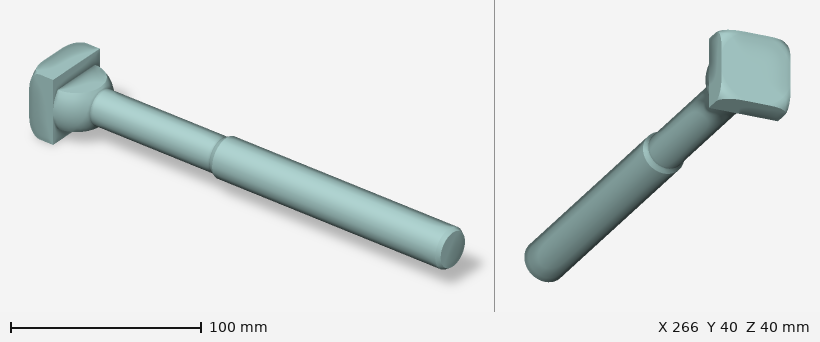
import cadquery as cq
import math

total_length = 266.0
head_width = 40.0
head_thickness = 16.0
head_envelope_radius = head_width / math.sqrt(2)
head_rounding = 7.5

thread_radius = 12.0
thread_start = 112.3
start_chamfer_length = 3.2
shank_radius = 10.5
end_chamfer_length = 2.5
end_chamfer_depth = 1.5

neck_width = 2 * thread_radius
neck_sphere_radius = head_width / 2


def make_head():
    """Square plate whose front corners are rounded off by a filleted disc."""
    plate = cq.Workplane("YZ").rect(head_width, head_width).extrude(head_thickness)
    envelope = (
        cq.Workplane("YZ")
        .circle(head_envelope_radius)
        .extrude(head_thickness)
        .faces("<X")
        .edges()
        .fillet(head_rounding)
    )
    return plate.intersect(envelope)


def make_neck():
    """Half ball behind the head, cut flat above and below."""
    ball = cq.Workplane("XY").sphere(neck_sphere_radius).translate((head_thickness, 0, 0))
    slab = (
        cq.Workplane("YZ", origin=(head_thickness, 0, 0))
        .rect(head_width, neck_width)
        .extrude(neck_sphere_radius)
    )
    return slab.intersect(ball)


def make_shaft():
    """Reduced shank stepping up to the full diameter, chamfered at both ends."""
    return (
        cq.Workplane("XY")
        .moveTo(head_thickness, 0)
        .lineTo(head_thickness, shank_radius)
        .lineTo(thread_start, shank_radius)
        .lineTo(thread_start + start_chamfer_length, thread_radius)
        .lineTo(total_length - end_chamfer_length, thread_radius)
        .lineTo(total_length, thread_radius - end_chamfer_depth)
        .lineTo(total_length, 0)
        .close()
        .revolve(360, (0, 0, 0), (1, 0, 0))
    )


result = make_head().union(make_neck()).union(make_shaft())